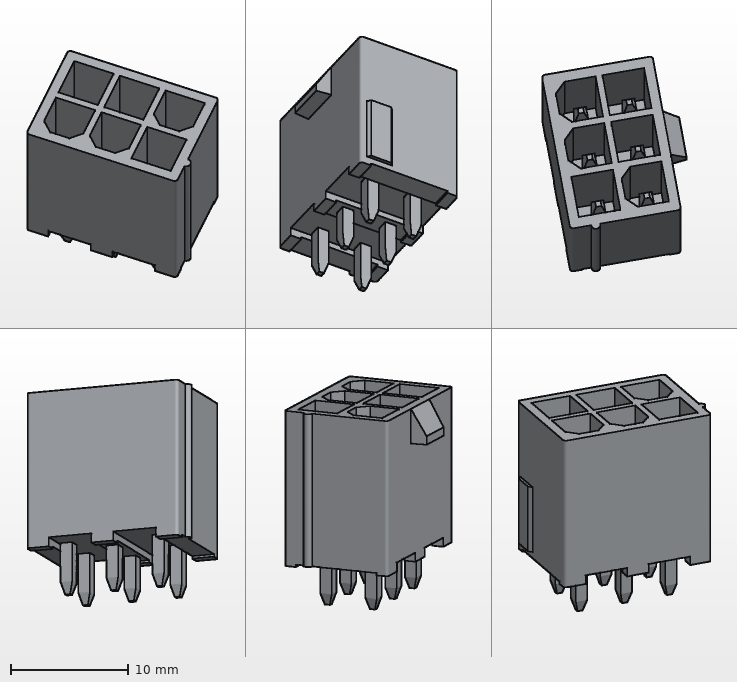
import cadquery as cq


WIDTH = 13.8
DEPTH = 9.6
HEIGHT = 13.6
CORNER_RADIUS = 0.3

PITCH = 4.2
COLUMN_X = [-PITCH, 0, PITCH]
FRONT_ROW_Y = -PITCH / 2
BACK_ROW_Y = PITCH / 2

POCKET_SIZE = 3.6
POCKET_DEPTH = 10.01
KEY_CHAMFER = 0.91
KEYED_POCKETS = {
    FRONT_ROW_Y: [True, True, False],
    BACK_ROW_Y: [False, False, True],
}

PIN_SIZE = 1.07
PIN_TIP_SIZE = 0.47
PIN_TAPER = 1.04
PIN_BELOW = 3.66
PIN_RECESS = 3.45
PIN_OFFSET_Y = 0.2

FOOT_WIDTH = 2.0
FOOT_DEPTH = 1.04
FRONT_GAP_HEIGHT = 0.8
SIDE_GAP_HEIGHT = 0.2

LATCH_REACH = 1.4
LATCH_HEIGHT = 3.04
LATCH_LIP = 0.75
LATCH_ROOT_WIDTH = 3.9
LATCH_TIP_WIDTH = 3.59

PAD_THICKNESS = 0.3
PAD_WIDTH = 2.52
PAD_HEIGHT = 6.0
PAD_BASE = 0.8
PAD_BACK_INSET = 0.59

RIB_RADIUS = 0.4
RIB_BASE = 0.2
RIB_FRONT_INSET = 2.21


def make_housing():
    """Plain block with rounded upright corners."""
    block = cq.Workplane("XY").box(WIDTH, DEPTH, HEIGHT, centered=(True, True, False))
    return block.edges("|Z").fillet(CORNER_RADIUS)


def make_foot_gaps():
    """Two channels running front to back and one shallow channel running side to side."""
    channel_width = (WIDTH - 3 * FOOT_WIDTH) / 2
    channel_x = (channel_width + FOOT_WIDTH) / 2
    gaps = cq.Workplane("XY").box(
        WIDTH, DEPTH - 2 * FOOT_DEPTH, SIDE_GAP_HEIGHT, centered=(True, True, False)
    )
    for x in (-channel_x, channel_x):
        channel = cq.Workplane("XY").box(
            channel_width, DEPTH, FRONT_GAP_HEIGHT, centered=(True, True, False)
        )
        gaps = gaps.union(channel.translate((x, 0, 0)))
    return gaps


def make_pocket(x, y, keyed):
    """Square pocket open at the top; a keyed one has its two front corners cut off."""
    pocket = cq.Workplane("XY").box(
        POCKET_SIZE, POCKET_SIZE, POCKET_DEPTH, centered=(True, True, False)
    )
    if keyed:
        pocket = pocket.faces("<Y").edges("|Z").chamfer(KEY_CHAMFER)
    return pocket.translate((x, y, HEIGHT - POCKET_DEPTH))


def make_pin_point(z, direction):
    """Four-sided taper starting at height z and pointing up (1) or down (-1)."""
    return (
        cq.Workplane("XY", origin=(0, 0, z))
        .rect(PIN_SIZE, PIN_SIZE)
        .workplane(offset=direction * PIN_TAPER)
        .rect(PIN_TIP_SIZE, PIN_TIP_SIZE)
        .loft(ruled=True)
    )


def make_pin(x, y):
    shank_bottom = PIN_TAPER - PIN_BELOW
    shank_top = HEIGHT - PIN_RECESS - PIN_TAPER
    shank = (
        cq.Workplane("XY", origin=(0, 0, shank_bottom))
        .rect(PIN_SIZE, PIN_SIZE)
        .extrude(shank_top - shank_bottom)
    )
    pin = shank.union(make_pin_point(shank_top, 1)).union(make_pin_point(shank_bottom, -1))
    return pin.translate((x, y + PIN_OFFSET_Y, 0))


def make_latch():
    """Ramp that falls away from the top edge, narrowing towards its lip."""
    wall_y = DEPTH / 2
    lip_y = wall_y + LATCH_REACH
    bottom_z = HEIGHT - LATCH_HEIGHT
    ramp = (
        cq.Workplane("YZ")
        .moveTo(wall_y, HEIGHT)
        .lineTo(lip_y, bottom_z + LATCH_LIP)
        .lineTo(lip_y, bottom_z)
        .lineTo(wall_y, bottom_z)
        .close()
        .extrude(LATCH_ROOT_WIDTH / 2, both=True)
    )
    plan = (
        cq.Workplane("XY", origin=(0, 0, bottom_z))
        .moveTo(-LATCH_ROOT_WIDTH / 2, wall_y)
        .lineTo(-LATCH_TIP_WIDTH / 2, lip_y)
        .lineTo(LATCH_TIP_WIDTH / 2, lip_y)
        .lineTo(LATCH_ROOT_WIDTH / 2, wall_y)
        .close()
        .extrude(LATCH_HEIGHT)
    )
    return ramp.intersect(plan)


def make_pad():
    """Flat pad with 45 degree flanks."""
    wall_x = -WIDTH / 2
    face_x = wall_x - PAD_THICKNESS
    back_y = DEPTH / 2 - PAD_BACK_INSET
    front_y = back_y - PAD_WIDTH
    return (
        cq.Workplane("XY", origin=(0, 0, PAD_BASE))
        .moveTo(wall_x, back_y)
        .lineTo(face_x, back_y - PAD_THICKNESS)
        .lineTo(face_x, front_y + PAD_THICKNESS)
        .lineTo(wall_x, front_y)
        .close()
        .extrude(PAD_HEIGHT)
    )


def make_rib():
    """Round rib centred on the wall surface, so that half of it stands proud."""
    return (
        cq.Workplane("XY", origin=(WIDTH / 2, RIB_FRONT_INSET - DEPTH / 2, RIB_BASE))
        .circle(RIB_RADIUS)
        .extrude(HEIGHT - RIB_BASE)
    )


result = make_housing().cut(make_foot_gaps())
result = result.union(make_latch()).union(make_pad()).union(make_rib())
for row_y, keyed_columns in KEYED_POCKETS.items():
    for column_x, keyed in zip(COLUMN_X, keyed_columns):
        result = result.cut(make_pocket(column_x, row_y, keyed))
        result = result.union(make_pin(column_x, row_y))